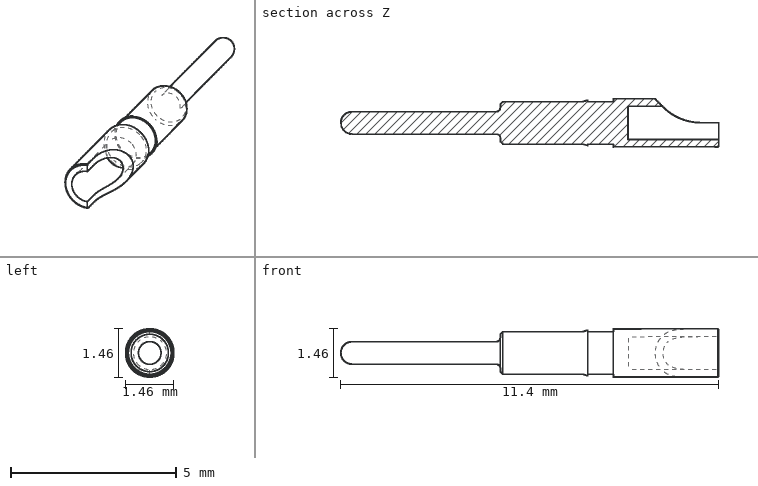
import cadquery as cq
import math

length = 11.43
pin_shoulder = 4.82
ridge_start = 7.32
ridge_crest = 7.44
ridge_end = 7.48
collar_start = 8.24

pin_radius = 0.69 / 2
body_radius = 1.29 / 2
ridge_radius = 1.37 / 2
collar_radius = 1.46 / 2
bore_radius = 1.0 / 2

root_fillet = 0.13
body_chamfer = 0.08
end_chamfer = 0.03

bore_depth = 2.74
scoop_floor = 0.01
scoop_start = 9.5
scoop_arc_radius = 1.6
scoop_angle = math.radians(45)


def turned_body():
    """Revolve the half profile of the pin, body, ridge and collar."""
    diagonal = math.cos(math.radians(45))
    profile = (
        cq.Workplane("XY")
        .moveTo(0, 0)
        .threePointArc((pin_radius * (1 - diagonal), pin_radius * diagonal), (pin_radius, pin_radius))
        .lineTo(pin_shoulder - root_fillet, pin_radius)
        .threePointArc(
            (pin_shoulder - root_fillet * (1 - diagonal), pin_radius + root_fillet * (1 - diagonal)),
            (pin_shoulder, pin_radius + root_fillet),
        )
        .lineTo(pin_shoulder, body_radius - body_chamfer)
        .lineTo(pin_shoulder + body_chamfer, body_radius)
        .lineTo(ridge_start, body_radius)
        .lineTo(ridge_crest, ridge_radius)
        .lineTo(ridge_end, ridge_radius)
        .lineTo(ridge_end, body_radius)
        .lineTo(collar_start, body_radius)
        .lineTo(collar_start, collar_radius)
        .lineTo(length - end_chamfer, collar_radius)
        .lineTo(length, collar_radius - end_chamfer)
        .lineTo(length, 0)
        .close()
    )
    return profile.revolve(360, (0, 0, 0), (1, 0, 0))


def cup_bore():
    """Blind bore entering from the +X end."""
    return cq.Workplane("YZ", origin=(length - bore_depth, 0, 0)).circle(bore_radius).extrude(bore_depth)


def scoop():
    """Cutter on the +Y side: a straight slope, then a tangent arc onto a flat floor."""
    arc_rise = scoop_arc_radius * (1 - math.cos(scoop_angle))
    arc_run = scoop_arc_radius * math.sin(scoop_angle)
    slope_end_y = scoop_floor + arc_rise
    slope_end_x = scoop_start + (collar_radius - slope_end_y) / math.tan(scoop_angle)
    floor_start = slope_end_x + arc_run
    half_angle = scoop_angle / 2
    arc_middle = (
        floor_start - scoop_arc_radius * math.sin(half_angle),
        scoop_floor + scoop_arc_radius * (1 - math.cos(half_angle)),
    )
    return (
        cq.Workplane("XY")
        .moveTo(scoop_start, collar_radius)
        .lineTo(slope_end_x, slope_end_y)
        .threePointArc(arc_middle, (floor_start, scoop_floor))
        .lineTo(length, scoop_floor)
        .lineTo(length, collar_radius)
        .close()
        .extrude(collar_radius, both=True)
    )


result = turned_body().cut(cup_bore()).cut(scoop())